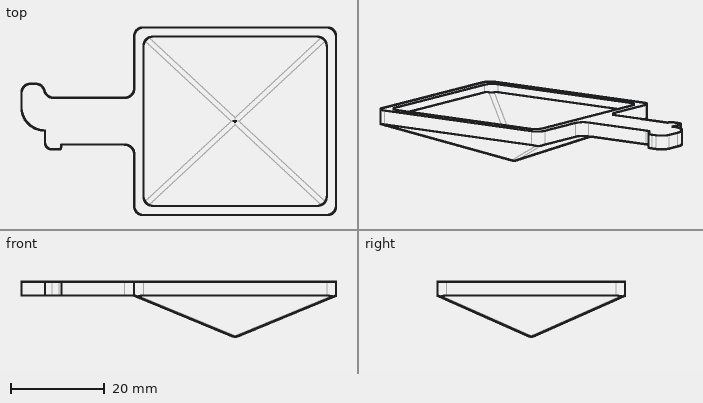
import cadquery as cq
import math

pan_length = 43.0
pan_width = 40.0
plate_thickness = 3.0
wall = 2.0
corner_radius = 2.0
ridge_radius = 2.0
pyramid_height = 8.89

half_length = pan_length / 2
half_width = pan_width / 2

handle_reach = 24.0
handle_half_width = 5.0
handle_root_radius = 2.0
head_length = 5.0
head_top = 8.0
head_bottom = -2.0
head_radius = 2.0
heel_radius = head_length
tab_length = 3.5
tab_bottom = -6.0
tab_front_radius = 1.5
tab_back_radius = 0.5


def arc_point(center, radius, degrees):
    """Point on a circle at the given angle from +X."""
    angle = math.radians(degrees)
    return (center[0] + radius * math.cos(angle), center[1] + radius * math.sin(angle))


def rounded_ridge_corner(sign_x, sign_y, tip_z):
    """One quadrant of an inverted pyramid, swept along its ridge with a rounded V section.

    The two faces slope as in the outer pyramid and would meet at tip_z without the rounding.
    The quadrant is left oversized outward and upward.
    """
    slope_x = pyramid_height / half_length
    slope_y = pyramid_height / half_width
    ridge = cq.Vector(sign_x / slope_x, sign_y / slope_y, 1)
    normal_x = cq.Vector(sign_x * slope_x, 0, -1).normalized()
    normal_y = cq.Vector(0, sign_y * slope_y, -1).normalized()
    outward = (normal_x + normal_y).normalized()
    half_turn = normal_x.getAngle(normal_y) / 2

    axis = ridge.normalized()
    sideways = outward.cross(axis)
    start = cq.Vector(0, 0, tip_z) - axis * pan_length
    plane = cq.Plane(origin=start, xDir=sideways, normal=axis)

    center = (0, -ridge_radius / math.cos(half_turn))
    turn = math.degrees(half_turn)
    right = arc_point(center, ridge_radius, 90 - turn)
    left = arc_point(center, ridge_radius, 90 + turn)
    flank = 2 * pan_length
    flank_drop = flank * math.tan(half_turn)
    section = (
        cq.Workplane(plane)
        .moveTo(-flank, -flank_drop)
        .lineTo(*left)
        .threePointArc((0, center[1] + ridge_radius), right)
        .lineTo(flank, -flank_drop)
        .lineTo(flank, -flank)
        .lineTo(-flank, -flank)
        .close()
        .extrude(3 * pan_length)
    )
    quadrant = cq.Workplane("XY").box(pan_length, pan_length, 2 * pan_length)
    quadrant = quadrant.translate((sign_x * half_length, sign_y * half_length, 0))
    return section.intersect(quadrant)


def rounded_pyramid(length, width, tip_z, top_z):
    """Upright rounded block ending below in a pyramid with rounded ridges."""
    block = (
        cq.Workplane("XY")
        .workplane(offset=tip_z)
        .rect(length, width)
        .extrude(top_z - tip_z)
        .edges("|Z")
        .fillet(corner_radius)
    )
    body = None
    for sign_x in (-1, 1):
        for sign_y in (-1, 1):
            corner = block.intersect(rounded_ridge_corner(sign_x, sign_y, tip_z))
            body = corner if body is None else body.union(corner)
    return body.clean()


def make_handle():
    """Flat handle, running along -X from the middle of the pan's left side."""
    left = -half_length - handle_reach
    neck = left + head_length
    tab_right = neck + tab_length
    root = -half_length
    overlap = wall / 2
    root_start = root - handle_root_radius
    root_end = handle_half_width + handle_root_radius

    round_center = (neck - head_radius, head_top - head_radius)
    hollow_y = handle_half_width + head_radius
    rise = hollow_y - round_center[1]
    run = math.sqrt((2 * head_radius) ** 2 - rise ** 2)
    hollow_center = (round_center[0] + run, hollow_y)
    lean = math.degrees(math.atan2(rise, run))
    crossover = arc_point(round_center, head_radius, lean)
    round_middle = arc_point(round_center, head_radius, (90 + lean) / 2)
    hollow_middle = arc_point(hollow_center, head_radius, (180 + lean + 270) / 2)

    upper_root = arc_point((root_start, root_end), handle_root_radius, -45)
    lower_root = arc_point((root_start, -root_end), handle_root_radius, 45)
    tab_back = arc_point(
        (tab_right - tab_back_radius, tab_bottom + tab_back_radius), tab_back_radius, -45
    )
    tab_front = arc_point(
        (neck + tab_front_radius, tab_bottom + tab_front_radius), tab_front_radius, 225
    )
    heel = arc_point((left + heel_radius, head_bottom + heel_radius), heel_radius, 225)
    head_corner = arc_point((left + head_radius, head_top - head_radius), head_radius, 135)

    return (
        cq.Workplane("XY")
        .moveTo(left + head_radius, head_top)
        .lineTo(round_center[0], head_top)
        .threePointArc(round_middle, crossover)
        .threePointArc(hollow_middle, (hollow_center[0], handle_half_width))
        .lineTo(root_start, handle_half_width)
        .threePointArc(upper_root, (root, root_end))
        .lineTo(root + overlap, root_end)
        .lineTo(root + overlap, -root_end)
        .lineTo(root, -root_end)
        .threePointArc(lower_root, (root_start, -handle_half_width))
        .lineTo(tab_right, -handle_half_width)
        .lineTo(tab_right, tab_bottom + tab_back_radius)
        .threePointArc(tab_back, (tab_right - tab_back_radius, tab_bottom))
        .lineTo(neck + tab_front_radius, tab_bottom)
        .threePointArc(tab_front, (neck, tab_bottom + tab_front_radius))
        .lineTo(neck, head_bottom)
        .threePointArc(heel, (left, head_bottom + heel_radius))
        .lineTo(left, head_top - head_radius)
        .threePointArc(head_corner, (left + head_radius, head_top))
        .close()
        .extrude(plate_thickness)
    )


face_slope = math.atan2(pyramid_height, half_width)
hollow_tip = -pyramid_height + wall / math.cos(face_slope)

pan = rounded_pyramid(pan_length, pan_width, -pyramid_height, plate_thickness)
hollow = rounded_pyramid(
    pan_length - 2 * wall, pan_width - 2 * wall, hollow_tip, plate_thickness
)
result = pan.union(make_handle()).cut(hollow)